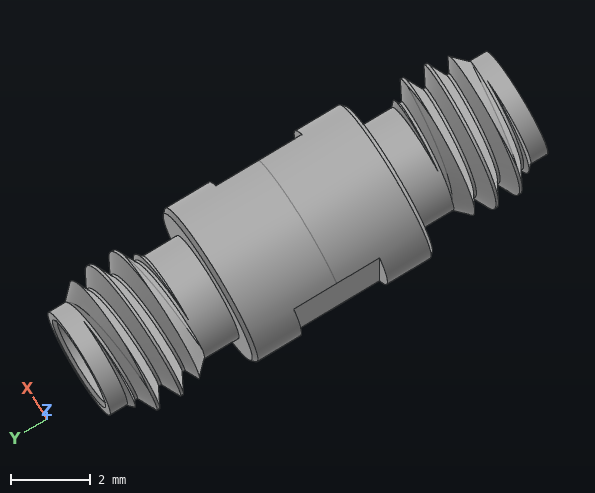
import cadquery as cq

overall_length = 12.9

body_radius = 4.5 / 2
body_length = 5.31
body_chamfer = 0.1
flat_half_spacing = 1.87
flat_length = 2.53

neck_radius = 1.51
bore_radius = 1.19
bore_depth = 2.77
bore_chamfer = 0.09

thread_radius = 2.01
thread_pitch = 0.7
thread_turns = 5
thread_root_radius = 1.46
thread_root_width = 0.67
runout_root_radius = 1.42
ridge_tip_radius = 2.06
ridge_tip_width = 0.03
thread_outer_end = overall_length / 2 - 0.5
thread_inner_end = overall_length / 2 - 2.77
helix_start = 2.9


def cylinder_along_y(radius, length):
    return cq.Workplane("XZ").circle(radius).extrude(length / 2, both=True)


def make_body():
    body = cylinder_along_y(body_radius, body_length).faces("<Y or >Y").chamfer(body_chamfer)
    for side in (-1, 1):
        flat_cutter = cq.Workplane("XY").box(body_radius, flat_length, 2 * body_radius)
        flat_centre = flat_half_spacing + body_radius / 2
        body = body.cut(flat_cutter.translate((side * flat_centre, 0, 0)))
    return body


def make_ridge_turn():
    """One right-handed turn of the untrimmed V ridge around the Y axis."""
    helix = cq.Wire.makeHelix(thread_pitch, thread_pitch, thread_root_radius)
    return (
        cq.Workplane("XZ")
        .moveTo(thread_root_radius, -thread_root_width / 2)
        .lineTo(ridge_tip_radius, -ridge_tip_width / 2)
        .lineTo(ridge_tip_radius, ridge_tip_width / 2)
        .lineTo(thread_root_radius, thread_root_width / 2)
        .close()
        .sweep(cq.Workplane(helix), isFrenet=True)
        .rotate((0, 0, 0), (1, 0, 0), -90)
        .translate((0, helix_start, 0))
    )


def make_thread_envelope():
    """Cylinder with 45 degree cones at both ends that bounds the thread."""
    runout = thread_radius - neck_radius
    sink = neck_radius - runout_root_radius
    return (
        cq.Workplane("XY")
        .moveTo(0, thread_inner_end - sink)
        .lineTo(runout_root_radius, thread_inner_end - sink)
        .lineTo(thread_radius, thread_inner_end + runout)
        .lineTo(thread_radius, thread_outer_end - runout)
        .lineTo(runout_root_radius, thread_outer_end + sink)
        .lineTo(0, thread_outer_end + sink)
        .close()
        .revolve(360, (0, 0, 0), (0, 1, 0))
    )


def make_neck():
    """The +Y neck with its thread, whose turns are trimmed one at a time."""
    neck = cylinder_along_y(neck_radius, overall_length / 2).translate((0, overall_length / 4, 0))
    turn = make_ridge_turn()
    envelope = make_thread_envelope()
    for index in range(thread_turns):
        placed_turn = turn.translate((0, index * thread_pitch, 0))
        neck = neck.union(placed_turn.intersect(envelope))
    return neck


def make_bore():
    """Blind bore with a chamfered mouth in the +Y end."""
    end = overall_length / 2
    return (
        cq.Workplane("XY")
        .moveTo(0, end)
        .lineTo(bore_radius + bore_chamfer, end)
        .lineTo(bore_radius, end - bore_chamfer)
        .lineTo(bore_radius, end - bore_depth)
        .lineTo(0, end - bore_depth)
        .close()
        .revolve(360, (0, 0, 0), (0, 1, 0))
    )


neck = make_neck().cut(make_bore())

result = make_body().union(neck).union(neck.mirror("XZ")).clean()